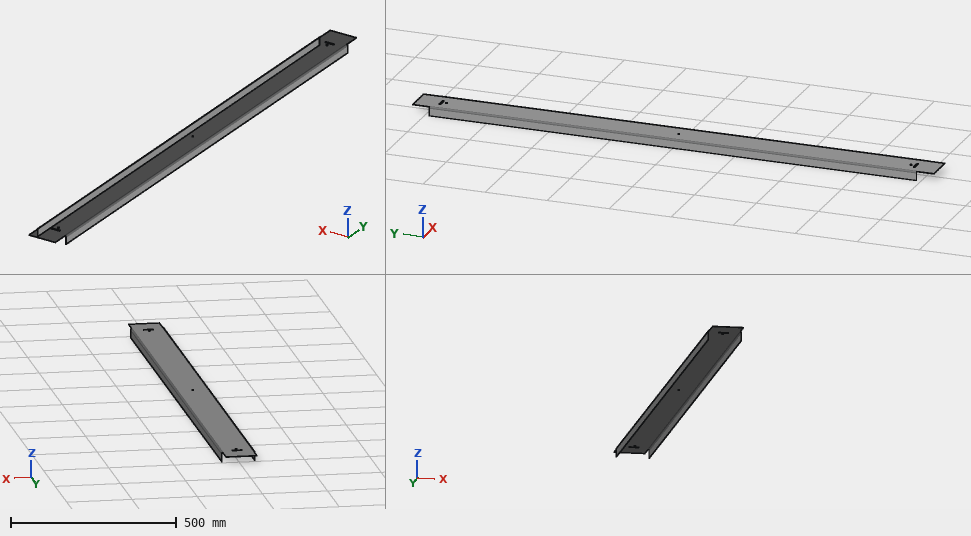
import cadquery as cq

LENGTH = 1681.0
OUTER_WIDTH = 102.8
HEIGHT = 29.0
THICKNESS = 2.0
BEND_INNER_RADIUS = 2.0
BEND_OUTER_RADIUS = BEND_INNER_RADIUS + THICKNESS

WEB_WIDTH = OUTER_WIDTH - 2 * BEND_OUTER_RADIUS
WEB_OVERHANG = 55.0
FLANGE_LENGTH = LENGTH - 2 * WEB_OVERHANG

HOLE_DIAMETER = 6.0
END_HOLE_INSET = 91.0
SLOT_LENGTH = 30.3
SLOT_WIDTH = 5.0
SLOT_INSET = 76.0


def make_web():
    """Flat strip over the full length, with its top face at Z = 0."""
    return cq.Workplane("XY").rect(WEB_WIDTH, LENGTH).extrude(-THICKNESS)


def make_flange():
    """Bend and downward flange along the +X edge of the web."""
    bend_x = WEB_WIDTH / 2
    outer_x = OUTER_WIDTH / 2
    inner_x = outer_x - THICKNESS
    profile = (
        cq.Workplane("XZ")
        .moveTo(bend_x, 0)
        .radiusArc((outer_x, -BEND_OUTER_RADIUS), BEND_OUTER_RADIUS)
        .lineTo(outer_x, -HEIGHT)
        .lineTo(inner_x, -HEIGHT)
        .lineTo(inner_x, -BEND_OUTER_RADIUS)
        .radiusArc((bend_x, -THICKNESS), -BEND_INNER_RADIUS)
        .close()
    )
    return profile.extrude(FLANGE_LENGTH / 2, both=True)


def make_holes():
    """Cutters for the round holes at the middle and near each end of the web."""
    end_hole_y = LENGTH / 2 - END_HOLE_INSET
    return (
        cq.Workplane("XY")
        .pushPoints([(0, -end_hole_y), (0, 0), (0, end_hole_y)])
        .circle(HOLE_DIAMETER / 2)
        .extrude(-THICKNESS)
    )


def make_slots():
    """Cutters for the rectangular cross slot near each end of the web."""
    slot_y = LENGTH / 2 - SLOT_INSET
    return (
        cq.Workplane("XY")
        .pushPoints([(0, -slot_y), (0, slot_y)])
        .rect(SLOT_LENGTH, SLOT_WIDTH)
        .extrude(-THICKNESS)
    )


flange = make_flange()
channel = make_web().union(flange).union(flange.mirror("YZ"))
result = channel.cut(make_holes()).cut(make_slots())